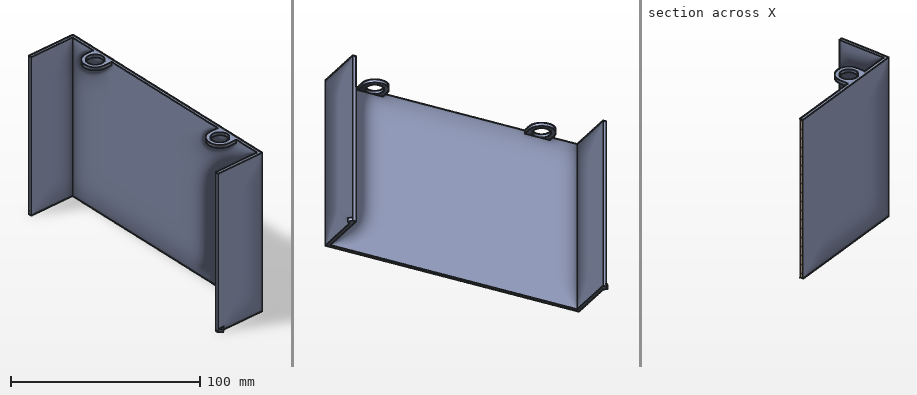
import cadquery as cq

wall = 2.0
body_width = 152.0
depth = 31.0
height = 100.0

lug_spacing = 100.0
lug_radius = 7.5
lug_hole_diameter = 10.0
lug_thickness = 2.0

nub_reach = 1.9
nub_width = 2 * nub_reach
nub_height = 2.0
nub_edge_gap = 0.1

back_y = wall
front_y = back_y - depth
half_width = body_width / 2
lug_hole_y = -lug_hole_diameter / 2


def make_channel():
    outer = cq.Workplane("XY").box(body_width, depth, height, centered=(True, False, False))
    inner = cq.Workplane("XY").box(
        body_width - 2 * wall, depth - wall, height, centered=(True, False, False)
    )
    return outer.cut(inner).translate((0, front_y, 0))


def make_lug(x):
    """Round-nosed lug whose hole is tangent to the back plate."""
    embedded_y = wall / 2
    outline = (
        cq.Workplane("XY", origin=(x, 0, height - lug_thickness))
        .moveTo(-lug_radius, embedded_y)
        .lineTo(-lug_radius, lug_hole_y)
        .threePointArc((0, lug_hole_y - lug_radius), (lug_radius, lug_hole_y))
        .lineTo(lug_radius, embedded_y)
        .close()
    )
    hole = (
        cq.Workplane("XY", origin=(x, lug_hole_y, height - lug_thickness))
        .circle(lug_hole_diameter / 2)
        .extrude(lug_thickness)
    )
    return outline.extrude(lug_thickness).cut(hole)


def make_nub(side):
    """Triangular prism on one side wall; side is -1 for left and 1 for right."""
    nub_front_y = front_y + nub_edge_gap
    root_x = side * (half_width - wall / 2)
    face_x = side * half_width
    return (
        cq.Workplane("XY")
        .moveTo(root_x, nub_front_y)
        .lineTo(face_x, nub_front_y)
        .lineTo(face_x + side * nub_reach, nub_front_y + nub_width / 2)
        .lineTo(face_x, nub_front_y + nub_width)
        .lineTo(root_x, nub_front_y + nub_width)
        .close()
        .extrude(nub_height)
    )


result = make_channel()
for side in (-1, 1):
    result = result.union(make_lug(side * lug_spacing / 2))
    result = result.union(make_nub(side))